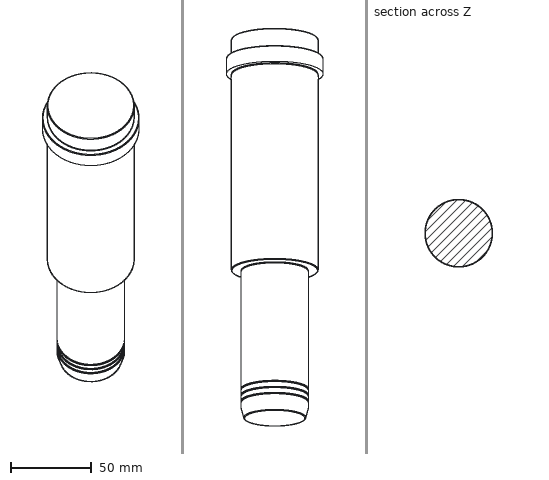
import cadquery as cq
import math

total_height = 243.0
collar_top = 231.0
collar_bottom = 221.0
body_bottom = 94.8

collar_diameter = 60.0
body_diameter = 54.0
shaft_diameter = 42.0

rim_chamfer = 0.5

lead_in_height = 7.0
lead_in_angle = 15.0

groove_width = 0.7
groove_depth = 0.5
groove_pitch = 4.0
groove_count = 3
lowest_groove_bottom = 10.2

relief_width = 0.7
relief_depth = 0.2


def cylinder(diameter, bottom, top):
    """Solid cylinder about the Z axis between two heights."""
    return cq.Workplane("XY").workplane(offset=bottom).circle(diameter / 2).extrude(top - bottom)


def shaft():
    """Slender lower shaft with a conical lead-in and a broken bottom edge."""
    inset = lead_in_height * math.tan(math.radians(lead_in_angle))
    plain = cylinder(shaft_diameter, 0, body_bottom)
    tapered = plain.faces("<Z").chamfer(lead_in_height, inset)
    return tapered.faces("<Z").chamfer(rim_chamfer)


def body():
    """Main cylinder, running up through the collar to the top of the part."""
    plain = cylinder(body_diameter, body_bottom, total_height)
    return plain.faces(">Z").chamfer(rim_chamfer).faces("<Z").chamfer(rim_chamfer)


def collar():
    """Flange ring with a chamfered upper rim."""
    return cylinder(collar_diameter, collar_bottom, collar_top).faces(">Z").chamfer(rim_chamfer)


def groove_cutter(diameter, bottom, width, depth):
    """Ring that cuts a groove of the given depth into a cylinder of the given diameter."""
    top = bottom + width
    groove_floor = cylinder(diameter - 2 * depth, bottom, top)
    return cylinder(collar_diameter, bottom, top).cut(groove_floor)


result = shaft().union(body()).union(collar())

shoulder_reliefs = [
    (body_diameter, collar_top),
    (body_diameter, collar_bottom - relief_width),
    (shaft_diameter, body_bottom - relief_width),
]
for diameter, relief_bottom in shoulder_reliefs:
    result = result.cut(groove_cutter(diameter, relief_bottom, relief_width, relief_depth))

for index in range(groove_count):
    groove_bottom = lowest_groove_bottom + index * groove_pitch
    result = result.cut(groove_cutter(shaft_diameter, groove_bottom, groove_width, groove_depth))